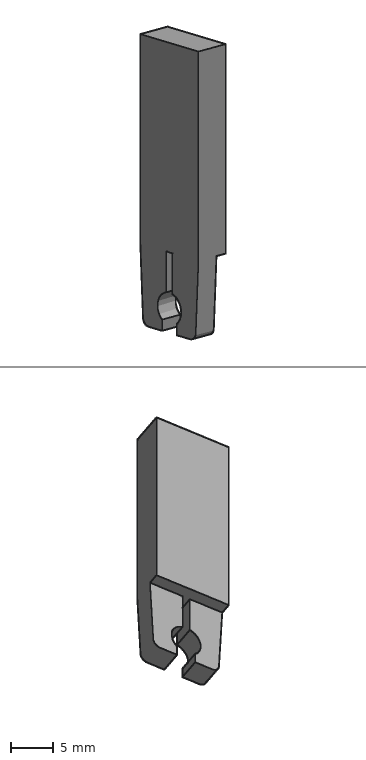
import cadquery as cq

width = 10.0
depth = 4.5
height = 36.0

tongue_height = 10.0
tongue_depth = 3.0
tip_inset = 0.5
tip_radius = 1.0

hole_radius = 2.0
hole_height = 3.0
mouth_width = 2.5
slot_width = 1.0


def upright_box(box_width, box_depth, bottom, top):
    """Box centred on X, with its front face on Y = 0."""
    return (
        cq.Workplane("XY", origin=(0, 0, bottom))
        .rect(box_width, box_depth)
        .extrude(top - bottom)
        .translate((0, box_depth / 2, 0))
    )


def tapered_tongue():
    """Tongue narrowing towards a tip with rounded lower corners."""
    tip_half_width = width / 2 - tip_inset
    return (
        cq.Workplane("XZ")
        .moveTo(-width / 2, tongue_height)
        .lineTo(-tip_half_width, 0)
        .lineTo(tip_half_width, 0)
        .lineTo(width / 2, tongue_height)
        .close()
        .extrude(-tongue_depth)
        .edges("|Y and <Z")
        .fillet(tip_radius)
    )


def snap_opening():
    """Round hole joined to the open mouth below and the slot above."""
    hole = (
        cq.Workplane("XZ")
        .center(0, hole_height)
        .circle(hole_radius)
        .extrude(-tongue_depth)
    )
    mouth = upright_box(mouth_width, tongue_depth, 0, hole_height)
    slot = upright_box(slot_width, tongue_depth, hole_height, tongue_height)
    return hole.union(mouth).union(slot)


body = upright_box(width, depth, tongue_height, height)
result = body.union(tapered_tongue()).cut(snap_opening())